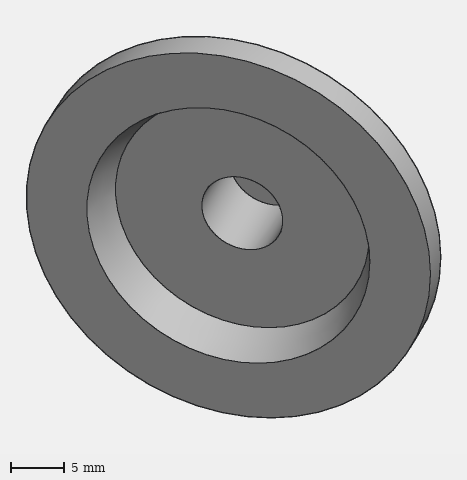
import cadquery as cq
import math

outer_diameter = 40.0
total_height = 20.0
rim_thickness = 3.0

recess_mouth_diameter = 28.0
recess_depth = 4.0
recess_wall_angle = 20.0

hole_diameter = 8.0
hole_depth = 8.0

outer_radius = outer_diameter / 2
recess_mouth_radius = recess_mouth_diameter / 2
recess_floor_radius = recess_mouth_radius - recess_depth * math.tan(math.radians(recess_wall_angle))
hole_radius = hole_diameter / 2
hole_bottom = recess_depth + hole_depth

half_section = [
    (0, hole_bottom),
    (hole_radius, hole_bottom),
    (hole_radius, recess_depth),
    (recess_floor_radius, recess_depth),
    (recess_mouth_radius, 0),
    (outer_radius, 0),
    (outer_radius, rim_thickness),
    (0, total_height),
]

result = cq.Workplane("XY").polyline(half_section).close().revolve(360, (0, 0, 0), (0, 1, 0))